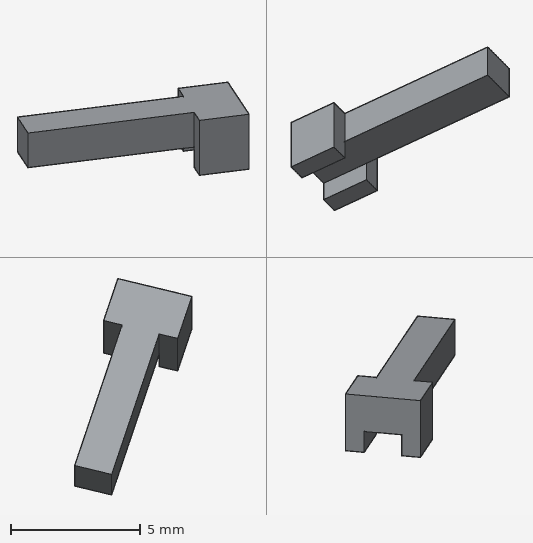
import cadquery as cq

head_width = 2.98
total_length = 8.68
head_height = 2.36

head_length = 2.0
stem_width = 1.49
stem_height = 1.49

slot_height = head_height - stem_height


def block(width, length, height, front, bottom):
    """Box centred on X, starting at the given front (Y) and bottom (Z) positions."""
    return (
        cq.Workplane("XY")
        .box(width, length, height, centered=(True, False, False))
        .translate((0, front, bottom))
    )


head = block(head_width, head_length, head_height, total_length - head_length, 0)
slot = block(stem_width, head_length, slot_height, total_length - head_length, 0)

stem = block(stem_width, total_length, stem_height, 0, slot_height)

result = head.cut(slot).union(stem).clean()